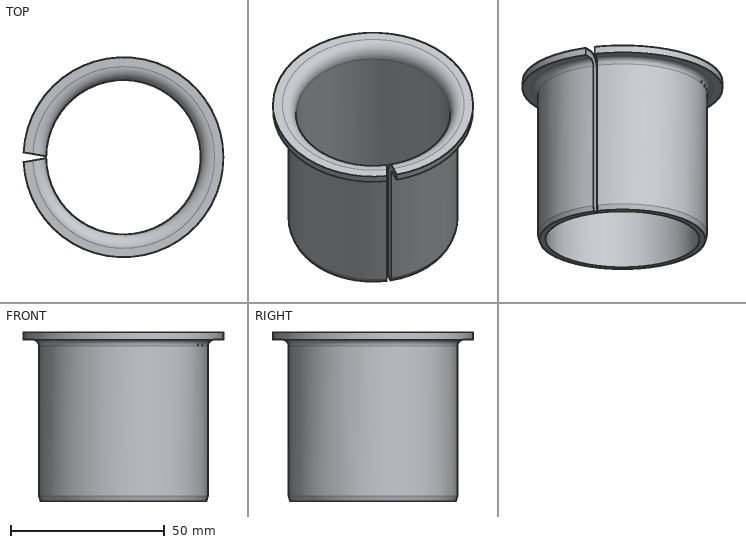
import cadquery as cq

flange_diameter = 65.0
height = 55.0
body_diameter = 55.0
wall = 2.5
bend_inner_radius = 2.0
bend_outer_radius = bend_inner_radius + wall
lead_in_height = 1.8
lead_in_depth = 0.6

slit_width = 0.5
notch_rim_width = 3.1

flange_radius = flange_diameter / 2
body_radius = body_diameter / 2
bore_radius = body_radius - wall
flange_underside = height - wall


def rolled_sleeve():
    """Revolve the wall section, with a concentric bend into the flange."""
    section = (
        cq.Workplane("XZ")
        .moveTo(bore_radius, 0)
        .lineTo(body_radius - lead_in_depth, 0)
        .lineTo(body_radius, lead_in_height)
        .lineTo(body_radius, flange_underside - bend_inner_radius)
        .radiusArc((body_radius + bend_inner_radius, flange_underside), bend_inner_radius)
        .lineTo(flange_radius, flange_underside)
        .lineTo(flange_radius, height)
        .lineTo(bore_radius + bend_outer_radius, height)
        .radiusArc((bore_radius, height - bend_outer_radius), -bend_outer_radius)
        .close()
    )
    sleeve = section.revolve(360, (0, 0, 0), (0, 1, 0))
    return sleeve.rotate((0, 0, 0), (0, 0, 1), 180)


def seam_cut():
    """Wedge opening from the bore to the flange rim, over the full height."""
    return (
        cq.Workplane("XY")
        .moveTo(-bore_radius, -slit_width / 2)
        .lineTo(-flange_radius, -notch_rim_width / 2)
        .lineTo(-flange_radius, notch_rim_width / 2)
        .lineTo(-bore_radius, slit_width / 2)
        .close()
        .extrude(height)
    )


result = rolled_sleeve().cut(seam_cut())